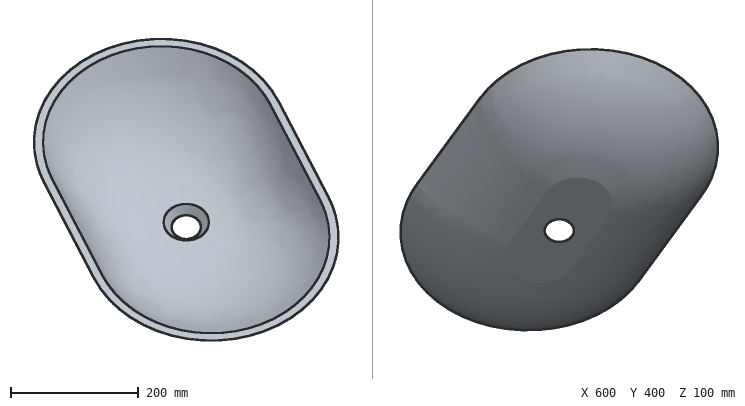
import cadquery as cq
import math

length = 600.0
width = length * 2 / 3
height = length / 6
rim_width = 14.5
floor_thickness = 13.0

outer_arc_start_x = 78.0
outer_arc_start_y = 24.0
outer_arc_dip = 2.5

seat_radius = 41.0
drain_top_radius = 35.5
drain_bottom_radius = 23.0
seam_angle = math.radians(60)

section_count = 7
straight_tolerance = 6e-06

rim_half_straight = (length - width) / 2
inner_half_length = length / 2 - rim_width
inner_half_width = width / 2 - rim_width


def arc_extent(start, end, rise, depth):
    """Half extent after a rise on an arc that leaves start horizontally and meets end at depth."""
    run = end - start
    radius = (run**2 + depth**2) / (2 * depth)
    return start + math.sqrt(radius**2 - (radius - rise)**2)


def section(corner_x, corner_y, half_x, half_y, z):
    """Oval wire with arc ends and long sides that are straight or bowed outward."""
    outline = cq.Workplane("XY", origin=(0, 0, z)).moveTo(-corner_x, -corner_y)
    bowed = half_y - corner_y > straight_tolerance
    for side in (-1, 1):
        start_x = side * corner_x
        end_x = -start_x
        y = side * corner_y
        if bowed:
            outline = outline.threePointArc((0, side * half_y), (end_x, y))
        else:
            outline = outline.lineTo(end_x, y)
        outline = outline.threePointArc((end_x / corner_x * half_x, 0), (end_x, -y))
    return outline.close().val()


def section_heights(bottom):
    """Heights from the bottom to the rim, closer together near the shallow bottom."""
    steps = section_count - 1
    return [bottom + (height - bottom) * (i / steps) ** 2 for i in range(section_count)]


def make_outer():
    """Bowl body with a stadium outline at every height."""
    depth = height + outer_arc_dip
    sections = []
    for z in section_heights(0):
        rise = z + outer_arc_dip
        half_x = arc_extent(outer_arc_start_x, length / 2, rise, depth)
        half_y = arc_extent(outer_arc_start_y, width / 2, rise, depth)
        sections.append(section(half_x - half_y, half_y, half_x, half_y, z))
    return cq.Workplane(cq.Solid.makeLoft(sections))


def make_basin():
    """Basin hollow that blends from the round drain seat to the stadium rim."""
    depth = height - floor_thickness
    seat_corner_x = seat_radius * math.cos(seam_angle)
    seat_corner_y = seat_radius * math.sin(seam_angle)
    sections = []
    for z in section_heights(floor_thickness):
        rise = z - floor_thickness
        corner_y = arc_extent(seat_corner_y, inner_half_width, rise, depth)
        progress = (corner_y - seat_corner_y) / (inner_half_width - seat_corner_y)
        corner_x = seat_corner_x + progress * (rim_half_straight - seat_corner_x)
        half_x = arc_extent(seat_radius, inner_half_length, rise, depth)
        half_y = arc_extent(seat_radius, inner_half_width, rise, depth)
        sections.append(section(corner_x, corner_y, half_x, half_y, z))
    return cq.Workplane(cq.Solid.makeLoft(sections))


drain = cq.Workplane(cq.Solid.makeCone(drain_bottom_radius, drain_top_radius, floor_thickness))

result = make_outer().cut(make_basin()).cut(drain)